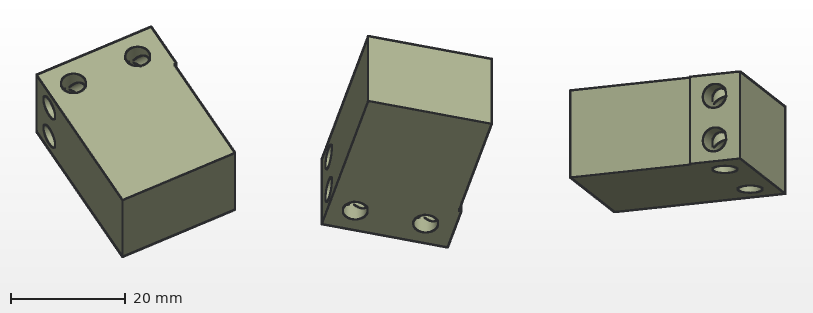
import cadquery as cq

length = 31.75
depth = 22.73
height = 15.88

pad_length = 9.35
relief_depth = 0.45

hole_diameter = 4.35
hole_x = 4.75
cross_hole_spacing = height / 2
vertical_hole_spacing = 12.7
vertical_hole_center_y = (depth - relief_depth) / 2


def make_block():
    """Block outline with the stepped back face, extruded upward."""
    relieved_depth = depth - relief_depth
    return (
        cq.Workplane("XY")
        .moveTo(0, 0)
        .lineTo(length, 0)
        .lineTo(length, relieved_depth)
        .lineTo(pad_length, relieved_depth)
        .lineTo(pad_length, depth)
        .lineTo(0, depth)
        .close()
        .extrude(height)
    )


def make_vertical_holes():
    """Pair of bores along Z, spaced along Y."""
    return (
        cq.Workplane("XY")
        .center(hole_x, vertical_hole_center_y)
        .rarray(0.32, vertical_hole_spacing, 1, 2)
        .circle(hole_diameter / 2)
        .extrude(height)
    )


def make_cross_holes():
    """Pair of bores along Y, spaced along Z about mid-height."""
    return (
        cq.Workplane("XZ")
        .center(hole_x, height / 2)
        .rarray(0.32, cross_hole_spacing, 1, 2)
        .circle(hole_diameter / 2)
        .extrude(-depth)
    )


result = make_block().cut(make_vertical_holes()).cut(make_cross_holes())